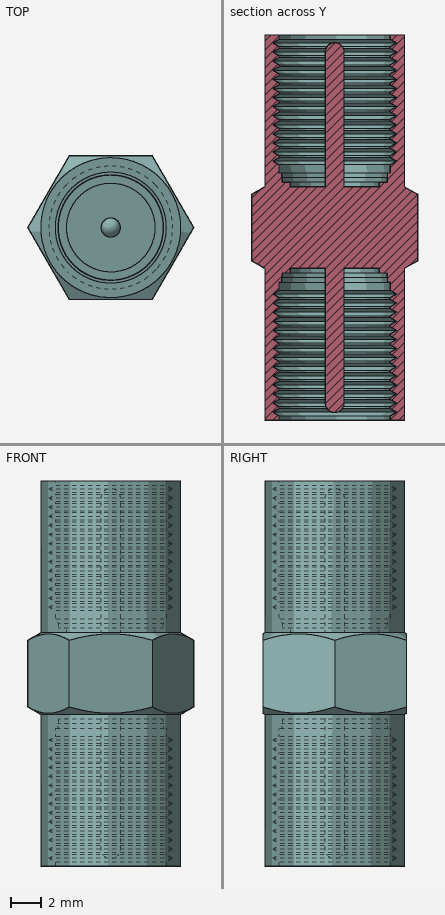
import cadquery as cq
import math

TOTAL_LENGTH = 25.45
HALF_LENGTH = TOTAL_LENGTH / 2
BARREL_DIAMETER = 9.25
BARREL_RADIUS = BARREL_DIAMETER / 2

HEX_FLATS = 9.5
HEX_CORNERS = HEX_FLATS / math.cos(math.pi / 6)
HEX_HEIGHT = 5.4
HEX_CHAMFER_ANGLE = math.radians(30)

BORE_RADIUS = 3.66
BORE_DEPTH = HALF_LENGTH - HEX_HEIGHT / 2
FIRST_GROOVE_DEPTH = 0.3
THREAD_LENGTH = 8.4
THREAD_TURNS = 14
THREAD_PITCH = THREAD_LENGTH / THREAD_TURNS
THREAD_LAND = 0.13
GROOVE_HEIGHT = THREAD_PITCH - THREAD_LAND
GROOVE_ANGLE = math.radians(60)
GROOVE_ROOT_RADIUS = BORE_RADIUS + GROOVE_HEIGHT / 2 / math.tan(GROOVE_ANGLE / 2)
FLOOR_STEP_RADII = (3.49, 3.45, 2.93)
FLOOR_STEP_HEIGHT = 0.3

PIN_RADIUS = 0.64
PIN_TIP_DEPTH = 0.5


def make_hex():
    """Hexagonal grip with its corners turned down to the barrel at both ends."""
    half_height = HEX_HEIGHT / 2
    prism = cq.Workplane("XY").polygon(6, HEX_CORNERS).extrude(half_height, both=True)
    corner_radius = HEX_CORNERS / 2
    drop = (corner_radius - BARREL_RADIUS) * math.tan(HEX_CHAMFER_ANGLE)
    turned = (
        cq.Workplane("XZ")
        .moveTo(0, -half_height)
        .lineTo(BARREL_RADIUS, -half_height)
        .lineTo(corner_radius, drop - half_height)
        .lineTo(corner_radius, half_height - drop)
        .lineTo(BARREL_RADIUS, half_height)
        .lineTo(0, half_height)
        .close()
        .revolve(360, (0, 0), (0, 1))
    )
    return prism.intersect(turned)


def make_socket():
    """Cavity of the upper socket, with the thread as separate rings."""
    profile = cq.Workplane("XZ").moveTo(0, HALF_LENGTH).lineTo(BORE_RADIUS, HALF_LENGTH)
    for turn in range(THREAD_TURNS):
        groove_top = HALF_LENGTH - FIRST_GROOVE_DEPTH - turn * THREAD_PITCH
        profile = (
            profile.lineTo(BORE_RADIUS, groove_top)
            .lineTo(GROOVE_ROOT_RADIUS, groove_top - GROOVE_HEIGHT / 2)
            .lineTo(BORE_RADIUS, groove_top - GROOVE_HEIGHT)
        )
    floor = HALF_LENGTH - BORE_DEPTH
    level = floor + len(FLOOR_STEP_RADII) * FLOOR_STEP_HEIGHT
    profile = profile.lineTo(BORE_RADIUS, level)
    for radius in FLOOR_STEP_RADII:
        profile = profile.lineTo(radius, level)
        level -= FLOOR_STEP_HEIGHT
        profile = profile.lineTo(radius, level)
    return profile.lineTo(0, floor).close().revolve(360, (0, 0), (0, 1))


def make_pin():
    """Round-nosed contact reaching from the middle of the part to the upper mouth."""
    tip = HALF_LENGTH - PIN_TIP_DEPTH
    shoulder = tip - PIN_RADIUS
    nose_reach = PIN_RADIUS * math.cos(math.pi / 4)
    return (
        cq.Workplane("XZ")
        .lineTo(PIN_RADIUS, 0)
        .lineTo(PIN_RADIUS, shoulder)
        .threePointArc((nose_reach, shoulder + nose_reach), (0, tip))
        .close()
        .revolve(360, (0, 0), (0, 1))
    )


barrel = cq.Workplane("XY").circle(BARREL_RADIUS).extrude(HALF_LENGTH, both=True)
body = barrel.union(make_hex())

socket = make_socket()
pin = make_pin()
for cavity in (socket, socket.mirror("XY")):
    body = body.cut(cavity)
for contact in (pin, pin.mirror("XY")):
    body = body.union(contact)

result = body